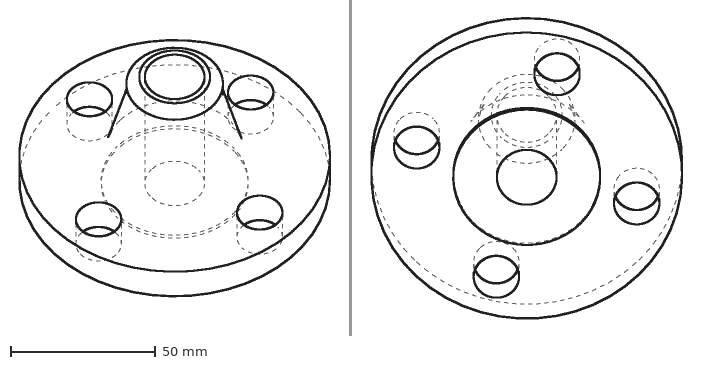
import cadquery as cq

flange_diameter = 107.9
flange_thickness = 12.8
raised_face_diameter = 51.0
raised_face_height = 1.5

total_height = 55.5
hub_base_diameter = 49.2
weld_end_diameter = 33.6
weld_end_length = 9.4
root_fillet_radius = 3.0

rim_diameter = 24.6
bevel_height = 3.6

bore_diameter = 20.7
bolt_hole_diameter = 15.8
bolt_circle_diameter = 79.2
bolt_hole_count = 4

flange_top = raised_face_height + flange_thickness
taper_top = total_height - weld_end_length
bevel_bottom = total_height - bevel_height


def flange_body():
    """Raised face, disc and hub as one solid of revolution about Z."""
    profile = [
        (0, 0),
        (raised_face_diameter / 2, 0),
        (raised_face_diameter / 2, raised_face_height),
        (flange_diameter / 2, raised_face_height),
        (flange_diameter / 2, flange_top),
        (hub_base_diameter / 2, flange_top),
        (weld_end_diameter / 2, taper_top),
        (weld_end_diameter / 2, bevel_bottom),
        (rim_diameter / 2, total_height),
        (0, total_height),
    ]
    return cq.Workplane("XZ").polyline(profile).close().revolve(360, (0, 0, 0), (0, 1, 0))


def fillet_hub_root(body):
    """Round the concave corner where the hub meets the disc."""
    margin = 0.1
    reach = hub_base_diameter / 2 + margin
    root = cq.selectors.BoxSelector(
        (-reach, -reach, flange_top - margin),
        (reach, reach, flange_top + margin),
        boundingbox=True,
    )
    return body.edges(root).fillet(root_fillet_radius)


def cut_holes(body):
    """Through bore on the axis and evenly spaced bolt holes through the disc."""
    bore = cq.Workplane("XY").circle(bore_diameter / 2).extrude(total_height)
    bolt_holes = (
        cq.Workplane("XY")
        .polarArray(bolt_circle_diameter / 2, 0, 360, bolt_hole_count)
        .circle(bolt_hole_diameter / 2)
        .extrude(flange_top)
    )
    return body.cut(bore).cut(bolt_holes)


result = cut_holes(fillet_hub_root(flange_body()))